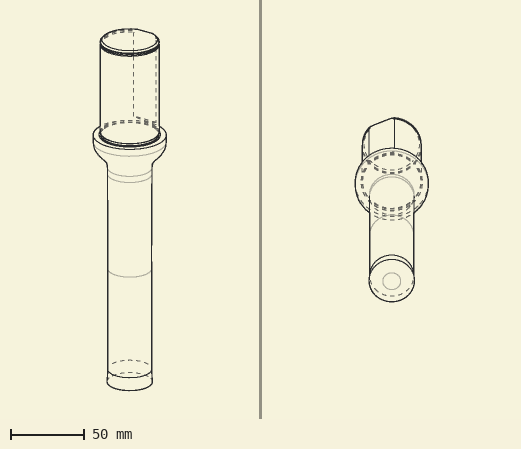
import cadquery as cq

TOTAL_LENGTH = 253.0
TIP_POINT_HEIGHT = 1.0
TIP_TOP = 10.4
LOWER_STEM_TOP = 84.5
UPPER_STEM_TOP = 154.3
NECK_TOP = 159.0
FLANGE_RIM_BOTTOM = 177.9
FLANGE_TOP = 183.0
COLLAR_HEIGHT = 0.5
RELIEF_HEIGHT = 1.5
GROOVE_BOTTOM = 249.5
GROOVE_SLOPE_HEIGHT = 0.8
GROOVE_TOP = 251.2

LOWER_STEM_DIAMETER = 29.9
UPPER_STEM_DIAMETER = 30.4
TIP_DIAMETER = 30.9
TIP_POINT_DIAMETER = 12.1
FLANGE_DIAMETER = 49.5
SHANK_DIAMETER = 40.0
RELIEF_DIAMETER = 39.5
COLLAR_DIAMETER = 41.5

SHANK_CHAMFER_WIDTH = 1.3
SHANK_CHAMFER_HEIGHT = 1.3
FLAT_DISTANCE = 17.7
FLAT_BOTTOM = 186.0

LOWER_STEM_RADIUS = LOWER_STEM_DIAMETER / 2
UPPER_STEM_RADIUS = UPPER_STEM_DIAMETER / 2
TIP_RADIUS = TIP_DIAMETER / 2
FLANGE_RADIUS = FLANGE_DIAMETER / 2
SHANK_RADIUS = SHANK_DIAMETER / 2
RELIEF_RADIUS = RELIEF_DIAMETER / 2


def revolve_profile(profile):
    """Close a (radius, height) profile and turn it around the Z axis."""
    return profile.close().revolve(360, (0, 0, 0), (0, 1, 0))


def make_flat_cutter():
    """Prism that removes the +Y side of the shank, with a sloped lower end."""
    flat_run_out = SHANK_RADIUS - FLAT_DISTANCE
    return (
        cq.Workplane("YZ")
        .moveTo(FLAT_DISTANCE, TOTAL_LENGTH)
        .lineTo(FLAT_DISTANCE, FLAT_BOTTOM + flat_run_out)
        .lineTo(SHANK_RADIUS, FLAT_BOTTOM)
        .lineTo(SHANK_RADIUS, TOTAL_LENGTH)
        .close()
        .extrude(SHANK_RADIUS, both=True)
    )


def make_holder():
    """Stem, S-curved flange and grooved, chamfered shank in one body."""
    collar_top = FLANGE_TOP + COLLAR_HEIGHT
    relief_top = collar_top + RELIEF_HEIGHT
    curve_middle = (
        (UPPER_STEM_RADIUS + FLANGE_RADIUS) / 2,
        (NECK_TOP + FLANGE_RIM_BOTTOM) / 2,
    )
    profile = (
        cq.Workplane("XZ")
        .moveTo(0, TIP_TOP)
        .lineTo(LOWER_STEM_RADIUS, TIP_TOP)
        .lineTo(LOWER_STEM_RADIUS, LOWER_STEM_TOP)
        .lineTo(UPPER_STEM_RADIUS, UPPER_STEM_TOP)
        .lineTo(UPPER_STEM_RADIUS, NECK_TOP)
        .spline(
            [curve_middle, (FLANGE_RADIUS, FLANGE_RIM_BOTTOM)],
            tangents=[(0, 1), (0, 1)],
            includeCurrent=True,
        )
        .lineTo(FLANGE_RADIUS, FLANGE_TOP)
        .lineTo(COLLAR_DIAMETER / 2, FLANGE_TOP)
        .lineTo(COLLAR_DIAMETER / 2, collar_top)
        .lineTo(RELIEF_RADIUS, collar_top)
        .lineTo(RELIEF_RADIUS, relief_top)
        .lineTo(SHANK_RADIUS, relief_top)
        .lineTo(SHANK_RADIUS, GROOVE_BOTTOM)
        .lineTo(RELIEF_RADIUS, GROOVE_BOTTOM + GROOVE_SLOPE_HEIGHT)
        .lineTo(RELIEF_RADIUS, GROOVE_TOP)
        .lineTo(SHANK_RADIUS, GROOVE_TOP)
        .lineTo(SHANK_RADIUS, TOTAL_LENGTH - SHANK_CHAMFER_HEIGHT)
        .lineTo(SHANK_RADIUS - SHANK_CHAMFER_WIDTH, TOTAL_LENGTH)
        .lineTo(0, TOTAL_LENGTH)
    )
    return revolve_profile(profile).cut(make_flat_cutter())


def make_cutting_tip():
    """Slightly flared tip with a shallow blunt point underneath."""
    profile = (
        cq.Workplane("XZ")
        .lineTo(TIP_POINT_DIAMETER / 2, 0)
        .lineTo(TIP_RADIUS, TIP_POINT_HEIGHT)
        .lineTo(LOWER_STEM_RADIUS, TIP_TOP)
        .lineTo(0, TIP_TOP)
    )
    return revolve_profile(profile)


holder = make_holder()
cutting_tip = make_cutting_tip()

result = cq.Compound.makeCompound([holder.val(), cutting_tip.val()])